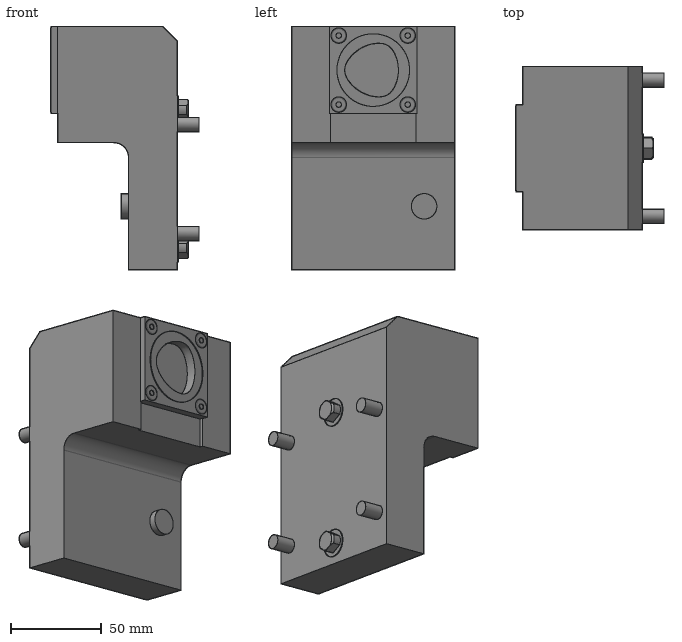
import cadquery as cq
import math

WIDTH = 90.0
HEIGHT = 134.0
HEAD_DEPTH = 66.0
FOOT_DEPTH = 27.0
HEAD_UNDERSIDE_Z = 70.0
THROAT_RADIUS = 8.0
TOP_CHAMFER = 8.0
FOOT_FACE_X = HEAD_DEPTH - FOOT_DEPTH

FLANGE_SIZE = 48.0
FLANGE_THICKNESS = 3.5
NOSE_DIAMETER = 40.0
SCREW_HEAD_DIAMETER = 8.5
NOSE_RISE = 0.5
SCREW_SPACING = 38.0
SCREW_DIMPLE_DIAMETER = 3.0
SCREW_DIMPLE_DEPTH = 0.4
SCREW_EDGE_RADIUS = 0.45
FLANGE_BOTTOM_Z = HEIGHT - FLANGE_SIZE
SPINDLE_Z = HEIGHT - FLANGE_SIZE / 2
NOSE_FACE_X = -FLANGE_THICKNESS - NOSE_RISE

SOCKET_WIDTH = 29.6
SOCKET_ECCENTRICITY = 0.95
SOCKET_DEPTH = 6.0
SOCKET_CURVE_POINTS = 48

RECESS_WIDTH = 47.0
RECESS_DEPTH = 2.0

BUTTON_DIAMETER = 14.0
BUTTON_HEIGHT = 4.0
BUTTON_Y = -28.0
BUTTON_Z = 35.0

PIN_CENTRE_Z = 50.0
DOWEL_DIAMETER = 8.0
DOWEL_LENGTH = 12.0
DOWEL_SPACING_Y = 75.0
DOWEL_SPACING_Z = 60.0
DIAMOND_SPACING_Z = 76.0
DIAMOND_DIAMETER = 12.5
DIAMOND_LENGTH = 6.0
DIAMOND_CHAMFER = 1.0
DIAMOND_TIP_HEIGHT = 5.85
DIAMOND_FLAT_ANGLE = 30.0
COLLAR_DIAMETER = 15.6
COLLAR_THICKNESS = 0.5


def cylinder_along_x(x, y, z, diameter, length):
    """Cylinder that starts at (x, y, z) and runs toward +X."""
    start = cq.Workplane("YZ", origin=(x, y, z))
    return start.circle(diameter / 2).extrude(length)


def make_block():
    profile = (
        cq.Workplane("XZ", origin=(0, WIDTH / 2, 0))
        .moveTo(FOOT_FACE_X, 0)
        .lineTo(HEAD_DEPTH, 0)
        .lineTo(HEAD_DEPTH, HEIGHT - TOP_CHAMFER)
        .lineTo(HEAD_DEPTH - TOP_CHAMFER, HEIGHT)
        .lineTo(0, HEIGHT)
        .lineTo(0, HEAD_UNDERSIDE_Z)
        .lineTo(FOOT_FACE_X - THROAT_RADIUS, HEAD_UNDERSIDE_Z)
        .radiusArc((FOOT_FACE_X, HEAD_UNDERSIDE_Z - THROAT_RADIUS), THROAT_RADIUS)
        .close()
    )
    return profile.extrude(WIDTH)


def make_recess():
    return cq.Workplane("XY").box(
        RECESS_DEPTH,
        RECESS_WIDTH,
        FLANGE_BOTTOM_Z - HEAD_UNDERSIDE_Z,
        centered=(False, True, False),
    ).translate((0, 0, HEAD_UNDERSIDE_Z))


def screw_positions():
    half = SCREW_SPACING / 2
    return [(y, SPINDLE_Z + dz) for y in (-half, half) for dz in (-half, half)]


def make_flange():
    flange = cq.Workplane("XY").box(
        FLANGE_THICKNESS, FLANGE_SIZE, FLANGE_SIZE, centered=(False, True, False)
    ).translate((-FLANGE_THICKNESS, 0, FLANGE_BOTTOM_Z))
    flange = flange.union(cylinder_along_x(NOSE_FACE_X, 0, SPINDLE_Z, NOSE_DIAMETER, NOSE_RISE))
    for y, z in screw_positions():
        head = cylinder_along_x(NOSE_FACE_X, y, z, SCREW_HEAD_DIAMETER, NOSE_RISE)
        head = head.faces("<X").edges().fillet(SCREW_EDGE_RADIUS)
        dimple = cylinder_along_x(NOSE_FACE_X, y, z, SCREW_DIMPLE_DIAMETER, SCREW_DIMPLE_DEPTH)
        flange = flange.union(head.cut(dimple))
    return flange


def socket_point(fraction):
    """Point on the constant-width three-lobed curve, one lobe toward +Y."""
    angle = 2 * math.pi * fraction
    radius = SOCKET_WIDTH / 2
    ecc = SOCKET_ECCENTRICITY
    across = radius * math.cos(angle) - 2 * ecc * math.cos(2 * angle) + ecc * math.cos(4 * angle)
    up = radius * math.sin(angle) + 2 * ecc * math.sin(2 * angle) + ecc * math.sin(4 * angle)
    return (-across, up)


def make_socket():
    start = cq.Workplane("YZ", origin=(NOSE_FACE_X, 0, SPINDLE_Z))
    points = [socket_point(i / SOCKET_CURVE_POINTS) for i in range(SOCKET_CURVE_POINTS)]
    return start.spline(points, periodic=True).close().extrude(SOCKET_DEPTH)


def make_button():
    return cylinder_along_x(
        FOOT_FACE_X - BUTTON_HEIGHT, BUTTON_Y, BUTTON_Z, BUTTON_DIAMETER, BUTTON_HEIGHT
    )


def make_diamond_pin(z):
    """Chamfered round pin with four flats that meet in ridges above and below, on a collar."""
    half_width = DIAMOND_TIP_HEIGHT / math.tan(math.radians(DIAMOND_FLAT_ANGLE))
    pin = cylinder_along_x(HEAD_DEPTH, 0, z, DIAMOND_DIAMETER, DIAMOND_LENGTH)
    pin = pin.faces(">X").chamfer(DIAMOND_CHAMFER)
    rhombus = (
        cq.Workplane("YZ", origin=(HEAD_DEPTH, 0, z))
        .polyline(
            [
                (half_width, 0),
                (0, DIAMOND_TIP_HEIGHT),
                (-half_width, 0),
                (0, -DIAMOND_TIP_HEIGHT),
            ]
        )
        .close()
        .extrude(DIAMOND_LENGTH)
    )
    collar = cylinder_along_x(HEAD_DEPTH, 0, z, COLLAR_DIAMETER, COLLAR_THICKNESS)
    return pin.intersect(rhombus).union(collar)


def add_mounting_pins(body):
    for side_z in (-1, 1):
        body = body.union(make_diamond_pin(PIN_CENTRE_Z + side_z * DIAMOND_SPACING_Z / 2))
        for side_y in (-1, 1):
            y = side_y * DOWEL_SPACING_Y / 2
            z = PIN_CENTRE_Z + side_z * DOWEL_SPACING_Z / 2
            body = body.union(cylinder_along_x(HEAD_DEPTH, y, z, DOWEL_DIAMETER, DOWEL_LENGTH))
    return body


part = make_block().cut(make_recess())
part = part.union(make_flange()).cut(make_socket())
part = part.union(make_button())
result = add_mounting_pins(part)